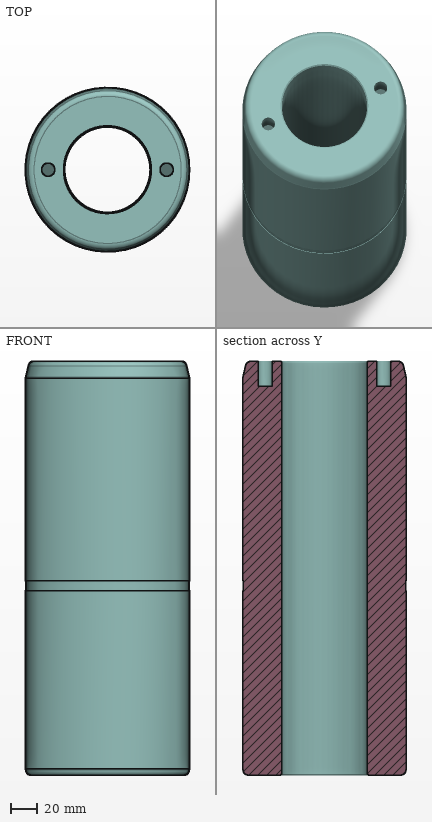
import cadquery as cq
import math

height = 315.0
outer_diameter = 125.0
outer_radius = outer_diameter / 2

relief_depth = 0.3
core_radius = outer_radius - relief_depth

bottom_round = 4.0
band_bevel_height = 1.0
band_bottom = bottom_round
band_top = 303.0

taper_angle = 13.0
taper_top_radius = core_radius - (height - band_top) * math.tan(math.radians(taper_angle))
top_round = 4.5

groove_top = 148.0
groove_width = 8.0
groove_bottom = groove_top - groove_width

bore_diameter = 65.0
bore_chamfer = 1.0

pin_hole_diameter = 10.0
pin_hole_spacing = 90.0
pin_hole_depth = 19.0


def revolve_profile(points):
    """Revolve a closed (radius, height) outline about the Z axis."""
    return cq.Workplane("XZ").polyline(points).close().revolve(360, (0, 0, 0), (0, 1, 0))


def make_core():
    """Full-height core with a rounded foot and a tapered, rounded head."""
    core = revolve_profile([
        (0, 0),
        (core_radius, 0),
        (core_radius, band_top),
        (taper_top_radius, height),
        (0, height),
    ])
    core = core.faces(">Z").edges().fillet(top_round)
    return core.faces("<Z").edges().fillet(bottom_round)


def make_lower_band():
    """Full-diameter band below the groove, beveled at its lower end."""
    return revolve_profile([
        (0, band_bottom),
        (core_radius, band_bottom),
        (outer_radius, band_bottom + band_bevel_height),
        (outer_radius, groove_bottom),
        (0, groove_bottom),
    ])


def make_upper_band():
    """Full-diameter band above the groove, beveled at its upper end."""
    return revolve_profile([
        (0, groove_top),
        (outer_radius, groove_top),
        (outer_radius, band_top - band_bevel_height),
        (core_radius, band_top),
        (0, band_top),
    ])


def make_bore():
    """Through bore that flares out into a chamfer at both mouths."""
    bore_radius = bore_diameter / 2
    mouth_radius = bore_radius + bore_chamfer
    return revolve_profile([
        (0, 0),
        (mouth_radius, 0),
        (bore_radius, bore_chamfer),
        (bore_radius, height - bore_chamfer),
        (mouth_radius, height),
        (0, height),
    ])


def make_pin_holes():
    """Two blind holes on the X axis, on opposite sides of the bore."""
    return (
        cq.Workplane("XY")
        .workplane(offset=height - pin_hole_depth)
        .pushPoints([(-pin_hole_spacing / 2, 0), (pin_hole_spacing / 2, 0)])
        .circle(pin_hole_diameter / 2)
        .extrude(pin_hole_depth)
    )


body = make_core().union(make_lower_band()).union(make_upper_band())
result = body.cut(make_bore()).cut(make_pin_holes())